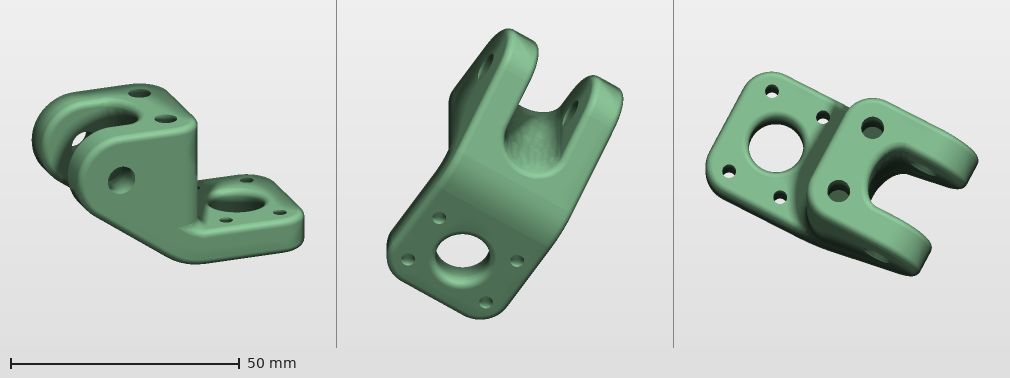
import cadquery as cq
import math

width = 30.0
length = 55
height = 33

plate_thickness = 8.0
block_back = 30.0
bend_y = 25.0
bend_radius = 15.0
corner_radius = 7.0
edge_radius = 1.5
foot_radius = 2.0

lug_radius = 10.0
pin_diameter = 6.4
slot_width = 14.0
slot_straight = 13.95
slot_depth = 18.75

bore_diameter = 12.0
bore_y = 42.65
screw_diameter = 3.0
screw_spacing_x = 20.25
screw_spacing_y = 12.6
top_hole_diameter = 5.0
top_hole_spacing = 16.0
top_hole_y = block_back - corner_radius
top_hole_depth = 10.0

lug_y = lug_radius
lug_z = height - lug_radius


def make_body():
    """Side profile with rounded lugs, swept across the width."""
    run = bend_y - lug_y
    slope = math.atan2(lug_z, run) - math.asin(lug_radius / math.hypot(run, lug_z))
    tangent_y = lug_y - lug_radius * math.sin(slope)
    tangent_z = lug_z - lug_radius * math.cos(slope)
    setback = bend_radius * math.tan(slope / 2)
    bend_end_y = bend_y - setback * math.cos(slope)
    bend_end_z = setback * math.sin(slope)
    bend_mid_y = bend_y + setback - bend_radius * math.sin(slope / 2)
    bend_mid_z = bend_radius * (1 - math.cos(slope / 2))
    profile = (
        cq.Workplane("YZ")
        .moveTo(length, 0)
        .lineTo(length, plate_thickness)
        .lineTo(block_back, plate_thickness)
        .lineTo(block_back, height)
        .lineTo(lug_y, height)
        .threePointArc((0, lug_z), (tangent_y, tangent_z))
        .lineTo(bend_end_y, bend_end_z)
        .threePointArc((bend_mid_y, bend_mid_z), (bend_y + setback, 0))
        .close()
    )
    body = profile.extrude(width / 2, both=True)
    return body.edges("|Z").fillet(corner_radius)


def cut_slot(body):
    """Slot between the lugs, closed by half an ellipse."""
    half = slot_width / 2
    slot = (
        cq.Workplane("XY")
        .moveTo(-half, 0)
        .lineTo(half, 0)
        .lineTo(half, slot_straight)
        .ellipseArc(half, slot_depth - slot_straight, 0, 180, startAtCurrent=True)
        .close()
        .extrude(height)
    )
    return body.cut(slot)


def round_edges(body):
    """Cove at the foot of the block, then the rounded outer edges."""
    foot_edge = cq.selectors.NearestToPointSelector((0, block_back, plate_thickness))
    body = body.edges(foot_edge).fillet(foot_radius)
    top_edges = body.faces(">Z").edges().vals()
    back_edges = body.faces(">Y").edges("not |Z").vals()
    return body.newObject(top_edges + back_edges).fillet(edge_radius)


def cut_bore(body):
    """Large bore through the plate, rounded at both rims."""
    rim_radius = bore_diameter / 2 + edge_radius
    blank = (
        cq.Workplane("XZ")
        .lineTo(rim_radius, 0)
        .radiusArc((bore_diameter / 2, edge_radius), edge_radius)
        .lineTo(bore_diameter / 2, plate_thickness - edge_radius)
        .radiusArc((rim_radius, plate_thickness), edge_radius)
        .lineTo(0, plate_thickness)
        .close()
        .revolve(360, (0, 0), (0, 1))
    )
    return body.cut(blank.translate((0, bore_y, 0)))


def cut_holes(body):
    """Screw holes, blind holes in the top and the cross pin hole."""
    screws = (
        cq.Workplane("XY")
        .center(0, bore_y)
        .rect(screw_spacing_x, screw_spacing_y, forConstruction=True)
        .vertices()
        .circle(screw_diameter / 2)
        .extrude(plate_thickness)
    )
    top_holes = (
        cq.Workplane("XY", origin=(0, top_hole_y, height))
        .pushPoints([(-top_hole_spacing / 2, 0), (top_hole_spacing / 2, 0)])
        .circle(top_hole_diameter / 2)
        .extrude(-top_hole_depth)
    )
    pin = (
        cq.Workplane("YZ", origin=(0, lug_y, lug_z))
        .circle(pin_diameter / 2)
        .extrude(width / 2, both=True)
    )
    return body.cut(screws).cut(top_holes).cut(pin)


result = make_body()
result = cut_slot(result)
result = round_edges(result)
result = cut_bore(result)
result = cut_holes(result)